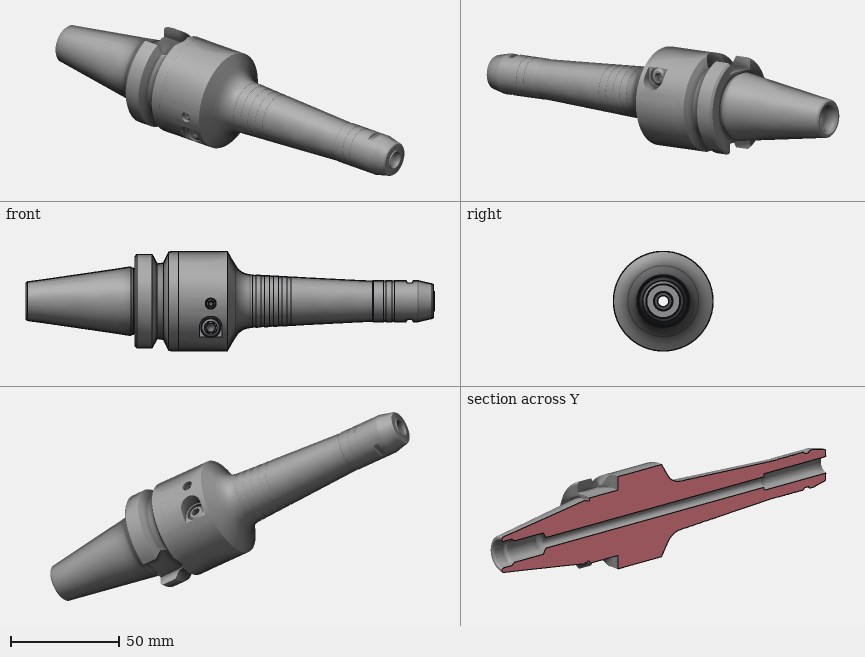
import cadquery as cq
import math

taper_length = 48.4
taper_big_d = 31.75
taper_ratio = 7 / 24
taper_end_chamfer = 0.7
nose_end_x = 140.0

relief_r = 15.4
relief_start_x = 0.0
undercut_r = 15.0
undercut_start_x = 1.2
recess_r = 17.0
recess_floor_x = 2.4

flange_r = 23.0
flange_face_x = 1.8
flange_chamfer = 1.0
flange_end_x = 9.8
vee_floor_r = 18.95
vee_floor_end_x = 15.1
vee_wall_angle = 60.0
flange_rear_x = 22.0
body_r = 22.95

shoulder_angle = 60.0
neck_fillet_r = 8.3
neck_start_x = 55.0
neck_start_r = 12.2
neck_end_x = 111.3
neck_end_r = 9.3
nose_r = 9.5
nose_step_length = 0.5
nose_taper_x = 132.4
nose_tip_x = 139.5
nose_tip_r = 7.6
nose_tip_chamfer = 0.6
nose_edge_r = 8.0
sleeve_d = 9.0

ring_pitch = 4.0
ring_depth = 0.15
neck_ring_x = 56.0
neck_ring_width = 1.7
neck_ring_count = 5
nose_ring_x = 116.4
nose_ring_width = 1.2
nose_ring_count = 2

notch_center_x = 128.5
notch_floor_width = 2.3
notch_top_width = 3.4
notch_depth = 1.0

slot_width = 16.1
slot_floor_z = 16.3
slot_end_x = 18.8

mouth_d = 14.6
counterbore_d = 12.9
counterbore_depth = 6.0
thread_d = 10.4
thread_depth = 24.0
drill_angle = 118.0
coolant_d = 5.0
clamp_bore_d = 8.0
clamp_bore_depth = 36.0

screw_x = 36.8
clamp_z = -12.2
pocket_d = 10.5
pocket_floor_y = -15.85
clamp_hole_d = 9.0
clamp_screw_d = 8.4
clamp_gap_depth = 1.5
clamp_chamfer = 1.3
clamp_hex = 4.0
clamp_hex_depth = 3.0

set_z = -1.1
set_hole_d = 5.0
set_sink = 1.5
set_screw_d = 4.1
set_gap_depth = 1.0
set_chamfer = 0.7
set_hex = 2.0
set_hex_depth = 2.0


def neck_radius(x):
    """Radius of the conical neck at station x."""
    slope = (neck_end_r - neck_start_r) / (neck_end_x - neck_start_x)
    return neck_start_r + slope * (x - neck_start_x)


def turned_body():
    """Revolve the outer profile, from the small taper end to the nose."""
    taper_end_r = (taper_big_d - taper_length * taper_ratio) / 2
    chamfer_r = taper_end_r + taper_end_chamfer * taper_ratio / 2
    vee_run = (flange_r - vee_floor_r) / math.tan(math.radians(vee_wall_angle))

    shoulder_turn = math.radians(shoulder_angle)
    neck_turn = math.atan2(neck_start_r - neck_end_r, neck_end_x - neck_start_x)
    mid_turn = (shoulder_turn + neck_turn) / 2
    center_x = neck_start_x + neck_fillet_r * math.sin(neck_turn)
    center_r = neck_start_r + neck_fillet_r * math.cos(neck_turn)

    def fillet_point(turn):
        return (
            center_x - neck_fillet_r * math.sin(turn),
            center_r - neck_fillet_r * math.cos(turn),
        )

    fillet_start_x, fillet_start_r = fillet_point(shoulder_turn)
    shoulder_run = (body_r - fillet_start_r) / math.tan(shoulder_turn)

    profile = (
        cq.Workplane("XY")
        .moveTo(-taper_length, 0)
        .lineTo(-taper_length, chamfer_r - taper_end_chamfer)
        .lineTo(-taper_length + taper_end_chamfer, chamfer_r)
        .lineTo(relief_start_x, taper_big_d / 2)
        .lineTo(relief_start_x, relief_r)
        .lineTo(undercut_start_x, relief_r)
        .lineTo(undercut_start_x, undercut_r)
        .lineTo(recess_floor_x, undercut_r)
        .lineTo(recess_floor_x, recess_r)
        .lineTo(flange_face_x, recess_r)
        .lineTo(flange_face_x, flange_r - flange_chamfer)
        .lineTo(flange_face_x + flange_chamfer, flange_r)
        .lineTo(flange_end_x, flange_r)
        .lineTo(flange_end_x + vee_run, vee_floor_r)
        .lineTo(vee_floor_end_x, vee_floor_r)
        .lineTo(vee_floor_end_x + vee_run, flange_r)
        .lineTo(flange_rear_x, flange_r)
        .lineTo(flange_rear_x, body_r)
        .lineTo(fillet_start_x - shoulder_run, body_r)
        .lineTo(fillet_start_x, fillet_start_r)
        .threePointArc(fillet_point(mid_turn), (neck_start_x, neck_start_r))
        .lineTo(neck_end_x, neck_end_r)
        .lineTo(neck_end_x + nose_step_length, nose_r)
        .lineTo(nose_taper_x, nose_r)
        .lineTo(nose_tip_x - nose_tip_chamfer, nose_edge_r)
        .lineTo(nose_tip_x, nose_tip_r)
        .lineTo(nose_tip_x, sleeve_d / 2)
        .lineTo(nose_end_x, sleeve_d / 2)
        .lineTo(nose_end_x, 0)
        .close()
    )
    return profile.revolve(360, (0, 0, 0), (1, 0, 0))


def ring_groove(start_x, width, start_r, end_r):
    """Shallow ring cutter whose floor runs from start_r to end_r."""
    return (
        cq.Workplane("XY")
        .polyline([
            (start_x, start_r),
            (start_x, body_r),
            (start_x + width, body_r),
            (start_x + width, end_r),
        ])
        .close()
        .revolve(360, (0, 0, 0), (1, 0, 0))
    )


def cut_rings(part):
    """Cut the evenly spaced ring grooves into the neck and the nose."""
    for index in range(neck_ring_count):
        x = neck_ring_x + index * ring_pitch
        start_r = neck_radius(x) - ring_depth
        end_r = neck_radius(x + neck_ring_width) - ring_depth
        part = part.cut(ring_groove(x, neck_ring_width, start_r, end_r))
    for index in range(nose_ring_count):
        x = nose_ring_x + index * ring_pitch
        floor_r = nose_r - ring_depth
        part = part.cut(ring_groove(x, nose_ring_width, floor_r, floor_r))
    return part


def drive_slot():
    """Upper drive slot: flat floor, full-round end, open towards the taper."""
    straight_end_x = slot_end_x - slot_width / 2
    half_width = slot_width / 2
    return (
        cq.Workplane("XY")
        .workplane(offset=slot_floor_z)
        .moveTo(0, -half_width)
        .lineTo(straight_end_x, -half_width)
        .threePointArc((slot_end_x, 0), (straight_end_x, half_width))
        .lineTo(0, half_width)
        .close()
        .extrude(flange_r)
    )


def nose_notch():
    """Upper nose notch: flat floor and sloping sides, running along Y."""
    return (
        cq.Workplane("XZ")
        .polyline([
            (notch_center_x - notch_floor_width / 2, nose_r - notch_depth),
            (notch_center_x - notch_top_width / 2, nose_r),
            (notch_center_x + notch_top_width / 2, nose_r),
            (notch_center_x + notch_floor_width / 2, nose_r - notch_depth),
        ])
        .close()
        .extrude(nose_r, both=True)
    )


def axial_bores():
    """Threaded drawbar end, coolant hole and clamping bore as one cutter."""
    mouth_chamfer = (mouth_d - counterbore_d) / 2
    counterbore_x = counterbore_depth - taper_length
    thread_x = thread_depth - taper_length
    cone_length = (thread_d - coolant_d) / 2 / math.tan(math.radians(drill_angle / 2))
    clamp_x = nose_end_x - clamp_bore_depth
    return (
        cq.Workplane("XY")
        .polyline([
            (-taper_length, 0),
            (-taper_length, mouth_d / 2),
            (-taper_length + mouth_chamfer, counterbore_d / 2),
            (counterbore_x, counterbore_d / 2),
            (counterbore_x + (counterbore_d - thread_d) / 2, thread_d / 2),
            (thread_x, thread_d / 2),
            (thread_x + cone_length, coolant_d / 2),
            (clamp_x, coolant_d / 2),
            (clamp_x, clamp_bore_d / 2),
            (nose_end_x, clamp_bore_d / 2),
            (nose_end_x, 0),
        ])
        .close()
        .revolve(360, (0, 0, 0), (1, 0, 0))
    )


def side_plane(z, y):
    """Plane facing -Y, centred on the screw station at height z."""
    return cq.Workplane("XZ", origin=(screw_x, y, z))


def screw_face(z, y, hole_d, screw_d, gap_depth, chamfer, across_flats, hex_depth):
    """Ring gap around a chamfered screw end at y, with its hexagonal socket."""
    hole = side_plane(z, y).circle(hole_d / 2).extrude(-gap_depth)
    screw = side_plane(z, y).circle(screw_d / 2).extrude(-gap_depth).faces("<Y").chamfer(chamfer)
    across_corners = across_flats / math.cos(math.radians(30))
    socket = side_plane(z, y).polygon(6, across_corners).extrude(-hex_depth)
    tip = cq.Workplane(cq.Solid.makeCone(
        across_corners / 2,
        0,
        across_corners / 2 / math.tan(math.radians(drill_angle / 2)),
        pnt=cq.Vector(screw_x, y + hex_depth, z),
        dir=cq.Vector(0, 1, 0),
    ))
    return hole.cut(screw).union(socket).union(tip)


def clamp_screw_cut():
    """Pocket open away from the axis, with a clamping screw in its floor."""
    pocket_r = pocket_d / 2
    pocket = (
        side_plane(clamp_z, pocket_floor_y)
        .moveTo(-pocket_r, -body_r)
        .lineTo(-pocket_r, 0)
        .threePointArc((0, pocket_r), (pocket_r, 0))
        .lineTo(pocket_r, -body_r)
        .close()
        .extrude(body_r)
    )
    screw = screw_face(
        clamp_z, pocket_floor_y, clamp_hole_d, clamp_screw_d,
        clamp_gap_depth, clamp_chamfer, clamp_hex, clamp_hex_depth,
    )
    return pocket.union(screw)


def set_screw_cut():
    """Small hole on the -Y side with a set screw at its bottom."""
    hole = side_plane(set_z, -body_r).circle(set_hole_d / 2).extrude(-set_sink)
    screw = screw_face(
        set_z, set_sink - body_r, set_hole_d, set_screw_d,
        set_gap_depth, set_chamfer, set_hex, set_hex_depth,
    )
    return hole.union(screw)


def cut_both_sides(part, cutter):
    """Cut the cutter and its copy turned half a turn about the X axis."""
    opposite = cutter.rotate((0, 0, 0), (1, 0, 0), 180)
    return part.cut(cutter).cut(opposite)


result = cut_rings(turned_body())
for side_cutter in (drive_slot(), nose_notch(), clamp_screw_cut()):
    result = cut_both_sides(result, side_cutter)
result = result.cut(set_screw_cut()).cut(axial_bores())